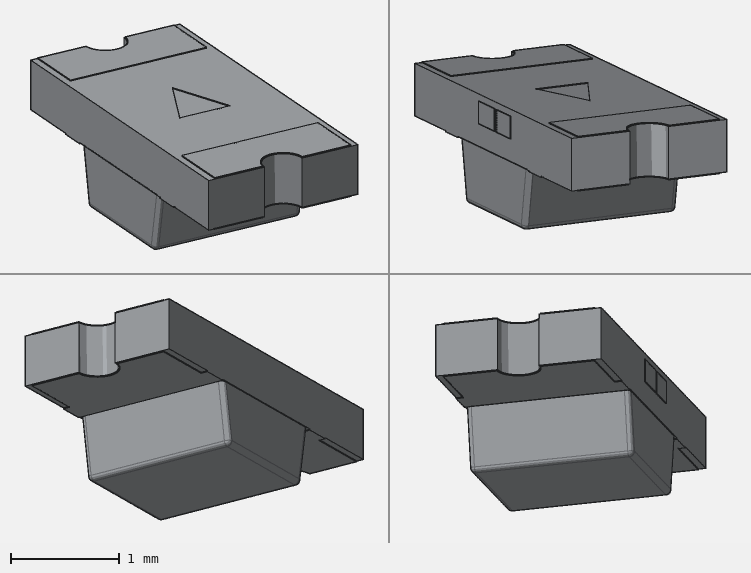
import cadquery as cq
import math

board_length = 3.2
board_width = 1.6
board_thickness = 0.5
notch_radius = 0.2

layer_thickness = 0.01
pad_setback = 0.01
pad_width = 1.46
top_pad_inner_x = 1.0
bottom_pad_inner_x = 0.97
mask_inner_x = 0.72

triangle_tip_x = -0.39
triangle_base_x = 0.235
triangle_base_y_max = 0.245
triangle_base_y_min = -0.295
triangle_depth = 0.01

lens_height = 0.6
lens_top_length = 1.4
lens_width = 1.58
lens_draft = math.radians(10)
lens_edge_radius = 0.05

side_mark_spans = [(-0.365, -0.08), (-0.04, 0.285)]
side_mark_height = 0.215
side_mark_top_gap = 0.065

END_SIDES = (-1, 1)


def layer_strip(x_outer, x_inner, width, z_bottom):
    """Thin rectangular layer lying between two X positions."""
    return (
        cq.Workplane("XY", origin=((x_outer + x_inner) / 2, 0, z_bottom))
        .rect(abs(x_outer - x_inner), width)
        .extrude(layer_thickness)
    )


def notch_cutter(side, radius, z_bottom, height):
    """Upright cylinder centred on one end face of the board."""
    return (
        cq.Workplane("XY", origin=(side * board_length / 2, 0, z_bottom))
        .circle(radius)
        .extrude(height)
    )


def make_board():
    board = cq.Workplane("XY").rect(board_length, board_width).extrude(board_thickness)
    for side in END_SIDES:
        board = board.cut(notch_cutter(side, notch_radius, 0, board_thickness))
    return board


def make_pad(side, inner_x, z_bottom):
    """Solder pad on one end, relieved around the end notch."""
    outer_x = board_length / 2 - pad_setback
    pad = layer_strip(side * outer_x, side * inner_x, pad_width, z_bottom)
    relief_radius = notch_radius + pad_setback
    return pad.cut(notch_cutter(side, relief_radius, z_bottom, layer_thickness))


def make_triangle_recess():
    return (
        cq.Workplane("XY", origin=(0, 0, board_thickness - triangle_depth))
        .moveTo(triangle_tip_x, 0)
        .lineTo(triangle_base_x, triangle_base_y_min)
        .lineTo(triangle_base_x, triangle_base_y_max)
        .close()
        .extrude(triangle_depth)
    )


def make_lens():
    half_top = lens_top_length / 2
    half_bottom = half_top - lens_height * math.tan(lens_draft)
    lens = (
        cq.Workplane("XZ", origin=(0, lens_width / 2, 0))
        .moveTo(-half_top, 0)
        .lineTo(half_top, 0)
        .lineTo(half_bottom, -lens_height)
        .lineTo(-half_bottom, -lens_height)
        .close()
        .extrude(lens_width)
    )
    return lens.edges("not >Z").fillet(lens_edge_radius)


def make_mask_strip(side):
    """Mask strip under the board, from the bottom pad towards the lens."""
    outer_x = side * bottom_pad_inner_x
    return layer_strip(outer_x, side * mask_inner_x, board_width, -layer_thickness)


def make_side_mark(x_start, x_end):
    z_bottom = board_thickness - side_mark_top_gap - side_mark_height
    return cq.Workplane("XY", origin=(x_start, board_width / 2, z_bottom)).box(
        x_end - x_start, layer_thickness, side_mark_height, centered=False
    )


result = make_board().cut(make_triangle_recess()).union(make_lens())
for end_side in END_SIDES:
    result = result.union(make_pad(end_side, top_pad_inner_x, board_thickness))
    result = result.union(make_pad(end_side, bottom_pad_inner_x, -layer_thickness))
    result = result.union(make_mask_strip(end_side))
for mark_start, mark_end in side_mark_spans:
    result = result.union(make_side_mark(mark_start, mark_end))